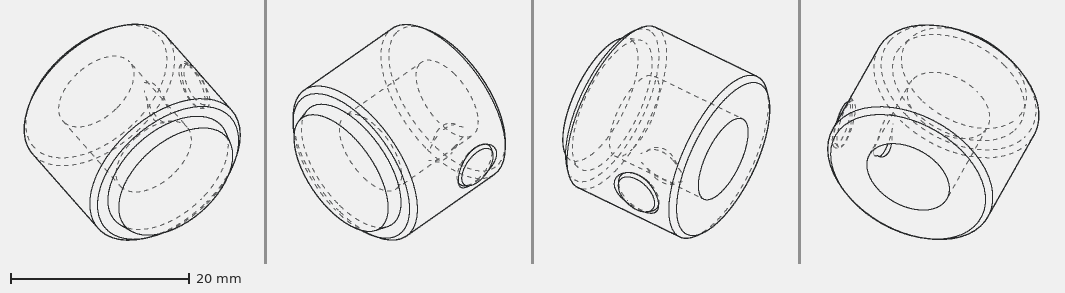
import math

import cadquery as cq

body_radius = 10.0
body_length = 15.0
body_chamfer = 0.625

pad_base_radius = 8.0
pad_height = 1.6
pad_taper_angle = 15.0

bore_radius = 5.0
bore_depth = 12.0

screw_radius = 3.0
thread_core_radius = 2.459
screw_x = 5.0
screw_chamfer_angle = 30.0
screw_head_y = body_radius
screw_rim_y = bore_radius
screw_cone_angle = 15.0

countersink_radius = screw_radius
countersink_angle = 30.0


def make_body():
    """Chamfered cylinder with a tapered pad, bored from the open face."""
    chamfer_radius = body_radius - body_chamfer
    pad_end_radius = pad_base_radius - pad_height * math.tan(math.radians(pad_taper_angle))
    profile = (
        cq.Workplane("XY")
        .moveTo(0, 0)
        .lineTo(0, chamfer_radius)
        .lineTo(body_chamfer, body_radius)
        .lineTo(body_length - body_chamfer, body_radius)
        .lineTo(body_length, chamfer_radius)
        .lineTo(body_length, pad_base_radius)
        .lineTo(body_length + pad_height, pad_end_radius)
        .lineTo(body_length + pad_height, 0)
        .close()
    )
    solid = profile.revolve(360, (0, 0, 0), (1, 0, 0))
    bore = cq.Workplane("YZ").circle(bore_radius).extrude(bore_depth)
    return solid.cut(bore)


def cone_length(large_radius, small_radius, angle):
    """Axial length of a cone between two radii, with its angle measured from the axis."""
    return (large_radius - small_radius) / math.tan(math.radians(angle))


def revolve_about_screw_axis(points):
    """Solid of revolution about the screw axis from (radius, y) points."""
    profile = cq.Workplane("XY", origin=(screw_x, 0, 0)).polyline(points).close()
    return profile.revolve(360, (0, 0, 0), (0, 1, 0))


def make_screw_hole():
    """Core hole from the middle of the bore out through +Y, with a countersink."""
    countersink_depth = cone_length(countersink_radius, thread_core_radius, countersink_angle)
    return revolve_about_screw_axis([
        (0, 0),
        (thread_core_radius, 0),
        (thread_core_radius, body_radius - countersink_depth),
        (countersink_radius, body_radius),
        (0, body_radius),
    ])


def make_screw():
    """Headless screw with a chamfered outer end and a shallow cone point."""
    tip_y = screw_rim_y - screw_radius * math.tan(math.radians(screw_cone_angle))
    chamfer_length = cone_length(screw_radius, thread_core_radius, screw_chamfer_angle)
    return revolve_about_screw_axis([
        (0, tip_y),
        (screw_radius, screw_rim_y),
        (screw_radius, screw_head_y - chamfer_length),
        (thread_core_radius, screw_head_y),
        (0, screw_head_y),
    ])


result = make_body().cut(make_screw_hole()).union(make_screw())